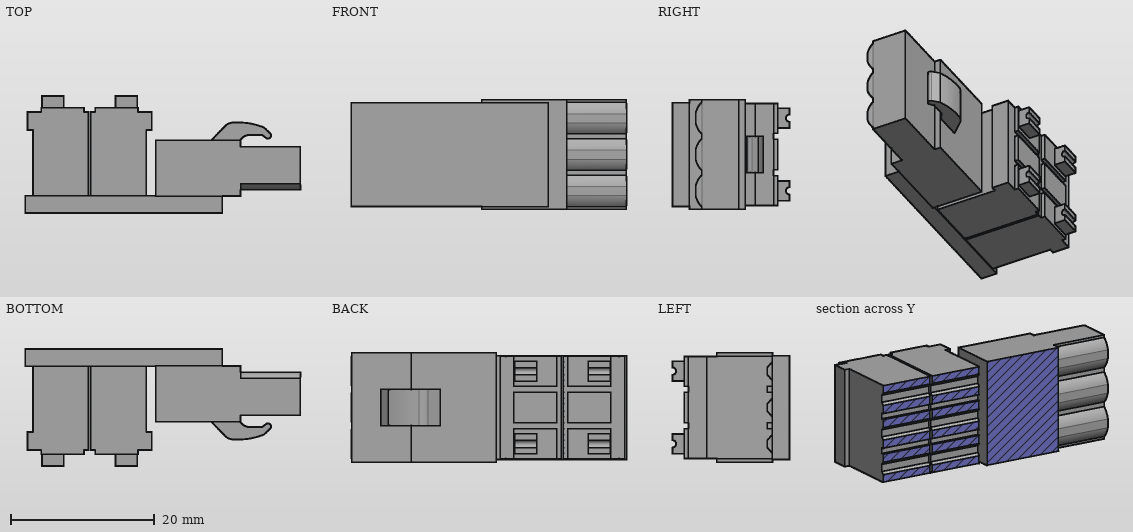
import cadquery as cq
import math

plate_length = 27.48
plate_thickness = 2.42
plate_height = 14.5

pole_count = 3
pole_pitch = 5.07
pole_places = [(i - (pole_count - 1) / 2) * pole_pitch for i in range(pole_count)]
gap_places = [(low + high) / 2 for low, high in zip(pole_places, pole_places[1:])]

block_height = 14.2
block_outer_x = 1.08
block_width = 7.75
block_spacing = 0.3
head_overhang = 0.75
head_bottom_y = 11.55
head_top_y = 14.1
ridge_inset = 0.6
ridge_width = 6.0
ridge_top_y = 14.68
pole_gap = 0.8
block_inner_x = block_outer_x + block_width
pair_center_x = block_inner_x + block_spacing / 2

groove_depth = 0.7
pole_groove_foot = 2.55
pole_groove_top = 1.05

lever_outer_x = 2.35
lever_length = 3.07
lever_height = 2.8
lever_top_y = 16.35
lever_notch_radius = 0.5

plug_height = 15.25
plug_bottom_y = 2.4
plug_start_x = 18.18
body_end_x = 30.0
body_top_y = 10.2
nose_end_x = 38.35
nose_top_y = 9.25
nose_bottom_y = 4.07

rib_end_x = 38.43
rib_width = 4.4
rib_flat = 1.25
rib_depth = 0.85

latch_width = pole_pitch
latch_heel_x = 25.98
latch_back_top = (27.75, 12.03)
latch_shoulder_mid = (28.3, 12.45)
latch_peak = (29.0, 12.65)
latch_crown_mid = (31.25, 12.53)
latch_crown_end = (33.28, 11.95)
latch_tip_outer = (34.2, 11.05)
latch_tip_mid = (34.2, 10.55)
latch_tip_inner = (33.63, 10.4)
latch_underside_y = 10.88
latch_underside_end_x = 33.0
latch_underside_start_x = 31.13
latch_throat_mid = (30.55, 10.7)


def box(x_range, y_range, height, center_z=0.0):
    """Box between two X and two Y places, centred on a Z place."""
    length = x_range[1] - x_range[0]
    depth = y_range[1] - y_range[0]
    center = (sum(x_range) / 2, sum(y_range) / 2, center_z)
    return cq.Workplane("XY").box(length, depth, height).translate(center)


def lever(center_z):
    """Lever with a round notch along X in its outer face."""
    x_range = (lever_outer_x, lever_outer_x + lever_length)
    body = box(x_range, (ridge_top_y, lever_top_y), lever_height, center_z)
    notch = (
        cq.Workplane("YZ", origin=(lever_outer_x, lever_top_y, center_z))
        .circle(lever_notch_radius)
        .extrude(lever_length)
    )
    return body.cut(notch)


def pole_groove(center_z):
    """Tapered groove along X in the foot of a block."""
    half_foot = pole_groove_foot / 2
    half_top = pole_groove_top / 2
    return (
        cq.Workplane("YZ", origin=(block_outer_x, plate_thickness, center_z))
        .moveTo(0, -half_foot)
        .lineTo(groove_depth, -half_top)
        .lineTo(groove_depth, half_top)
        .lineTo(0, half_foot)
        .close()
        .extrude(block_width)
    )


def terminal_block():
    """Block nearest -X, with its head overhanging toward -X."""
    block_x = (block_outer_x, block_inner_x)
    head_x = (block_outer_x - head_overhang, block_inner_x)
    ridge_end_x = block_inner_x - ridge_inset
    ridge_x = (ridge_end_x - ridge_width, ridge_end_x)
    groove_y = (plate_thickness, plate_thickness + groove_depth)

    block = box(block_x, (plate_thickness, head_top_y), block_height)
    block = block.union(box(head_x, (head_bottom_y, head_top_y), block_height))
    block = block.union(box(ridge_x, (head_top_y, ridge_top_y), block_height))
    for z in gap_places:
        block = block.cut(box(ridge_x, (head_top_y, ridge_top_y), pole_gap, z))
        block = block.cut(box(block_x, groove_y, pole_gap, z))
    for z in pole_places:
        block = block.cut(pole_groove(z))
    for z in (pole_places[0], pole_places[-1]):
        block = block.union(lever(z))
    return block


def rib(center_z):
    """Rib along the nose: a slice of a round bar with a flat crest and a raked end."""
    half_width = rib_width / 2
    half_flat = rib_flat / 2
    bar_center_depth = (half_width**2 - half_flat**2 - rib_depth**2) / (2 * rib_depth)
    bar_radius = math.hypot(half_width, bar_center_depth)
    bar = (
        cq.Workplane("YZ", origin=(body_end_x, nose_bottom_y + bar_center_depth, center_z))
        .circle(bar_radius)
        .extrude(rib_end_x - body_end_x)
    )
    raked_end = (
        cq.Workplane("XY", origin=(0, nose_bottom_y, center_z - half_width))
        .moveTo(body_end_x, 0)
        .lineTo(nose_end_x, 0)
        .lineTo(rib_end_x, -rib_depth)
        .lineTo(body_end_x, -rib_depth)
        .close()
        .extrude(rib_width)
    )
    return bar.intersect(raked_end)


def latch():
    """Curved hook rising from the body and reaching over the nose."""
    return (
        cq.Workplane("XY", origin=(0, 0, -latch_width / 2))
        .moveTo(latch_heel_x, body_top_y)
        .lineTo(*latch_back_top)
        .threePointArc(latch_shoulder_mid, latch_peak)
        .threePointArc(latch_crown_mid, latch_crown_end)
        .lineTo(*latch_tip_outer)
        .threePointArc(latch_tip_mid, latch_tip_inner)
        .lineTo(latch_underside_end_x, latch_underside_y)
        .lineTo(latch_underside_start_x, latch_underside_y)
        .threePointArc(latch_throat_mid, (body_end_x, body_top_y))
        .close()
        .extrude(latch_width)
    )


def plug():
    """Plug body with its nose, ribs and latch."""
    body = box((plug_start_x, body_end_x), (plug_bottom_y, body_top_y), plug_height)
    nose = box((body_end_x, nose_end_x), (nose_bottom_y, nose_top_y), plug_height)
    whole = body.union(nose).union(latch())
    for z in pole_places:
        whole = whole.union(rib(z))
    return whole


plate = box((0, plate_length), (0, plate_thickness), plate_height)
near_block = terminal_block()
far_block = near_block.mirror("YZ", (pair_center_x, 0, 0))

result = plate.union(near_block).union(far_block).union(plug())